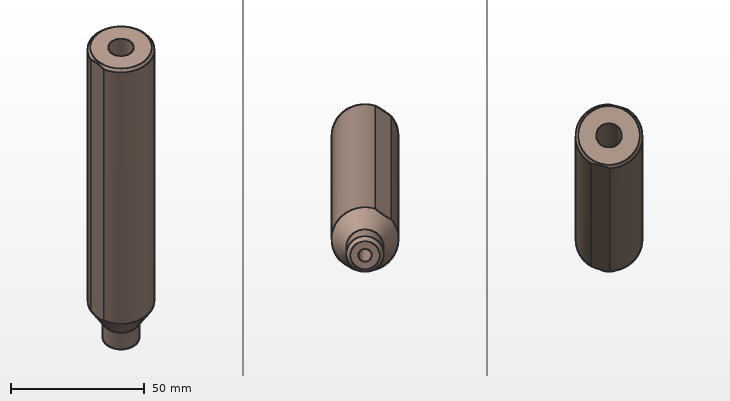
import cadquery as cq
import math

total_length = 150.0
shaft_diameter = 25.0
width_across_flats = 24.0
top_chamfer = 1.0

taper_top_z = 20.0
taper_bottom_z = 10.0
tip_diameter = 14.0
tip_chamfer = 1.5

wide_bore_diameter = 9.5
narrow_bore_diameter = 5.0
bore_cone_z = taper_top_z
bore_cone_angle = 118.0

shaft_radius = shaft_diameter / 2
tip_radius = tip_diameter / 2
wide_bore_radius = wide_bore_diameter / 2
narrow_bore_radius = narrow_bore_diameter / 2
bore_cone_half_angle = math.radians(bore_cone_angle / 2)
bore_cone_height = (wide_bore_radius - narrow_bore_radius) / math.tan(bore_cone_half_angle)


def revolve_profile(points):
    """Revolve a closed (radius, height) outline about Z."""
    return cq.Workplane("XZ").polyline(points).close().revolve(360, (0, 0, 0), (0, 1, 0))


def make_turned_blank():
    return revolve_profile([
        (0, 0),
        (tip_radius - tip_chamfer, 0),
        (tip_radius, tip_chamfer),
        (tip_radius, taper_bottom_z),
        (shaft_radius, taper_top_z),
        (shaft_radius, total_length - top_chamfer),
        (shaft_radius - top_chamfer, total_length),
        (0, total_length),
    ])


def make_flats_envelope():
    """Block whose Y faces trim the two opposite flats along the shaft."""
    return cq.Workplane("XY").box(
        shaft_diameter, width_across_flats, total_length, centered=(True, True, False)
    )


def make_bore():
    return revolve_profile([
        (0, 0),
        (narrow_bore_radius, 0),
        (narrow_bore_radius, bore_cone_z),
        (wide_bore_radius, bore_cone_z + bore_cone_height),
        (wide_bore_radius, total_length),
        (0, total_length),
    ])


def make_handle():
    return make_turned_blank().intersect(make_flats_envelope()).cut(make_bore())


handle = make_handle()

result = cq.Compound.makeCompound([handle.val()])